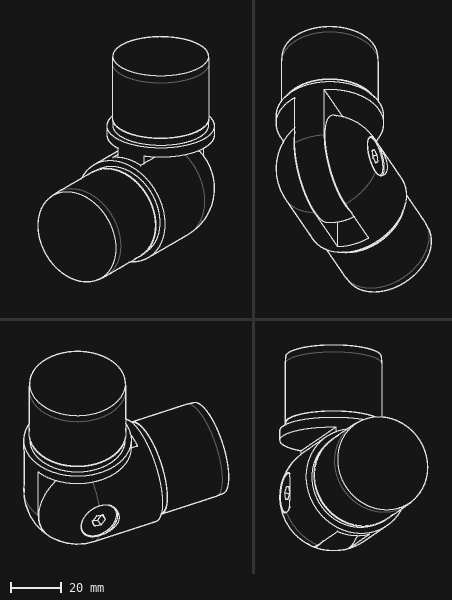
import cadquery as cq
import math


ball_radius = 21.2
total_length = 78.2
tip_position = total_length - ball_radius
collar_end = 27.0
collar_thickness = 4.0
collar_start = collar_end - collar_thickness
groove_length = 3.1
groove_radius = 18.8
plug_radius = 19.1
tip_taper_length = 3.0
tip_radius = 18.85

slot_width = 13.3
tongue_thickness = 12.7

head_radius = 7.7
recess_radius = 8.05
recess_step = recess_radius - head_radius
head_face_depth = 1.8
head_face_x = -(ball_radius - head_face_depth)
shank_radius = 4.0
screw_end_x = 14.1
socket_width = 5.0
socket_depth = 3.0
socket_tip_depth = 1.4
socket_angle = 12.0


def connector_blank():
    """Solid connector half on +Z: half ball, straight barrel, groove and tapered plug."""
    return (
        cq.Workplane("XZ")
        .moveTo(0, -ball_radius)
        .threePointArc(
            (ball_radius * math.sqrt(0.5), -ball_radius * math.sqrt(0.5)),
            (ball_radius, 0),
        )
        .lineTo(ball_radius, collar_end)
        .lineTo(groove_radius, collar_end)
        .lineTo(groove_radius, collar_end + groove_length)
        .lineTo(plug_radius, collar_end + groove_length)
        .lineTo(plug_radius, tip_position - tip_taper_length)
        .lineTo(tip_radius, tip_position)
        .lineTo(0, tip_position)
        .close()
        .revolve(360, (0, 0), (0, 1))
    )


def joint_block(width):
    """Block of the given X width that spans the ball and barrel up to the collar."""
    span = 2 * ball_radius
    return cq.Workplane("XY").box(width, span, ball_radius + collar_start).translate(
        (0, 0, (collar_start - ball_radius) / 2)
    )


def turned_about_x(outline):
    """Solid of revolution about the X axis from (x, radius) points."""
    return cq.Workplane("XY").polyline(outline).close().revolve(360, (0, 0), (1, 0))


def screw_envelope():
    """Head cone and shank of the screw, without its socket."""
    cone_end_x = head_face_x + head_radius - shank_radius
    return turned_about_x(
        [
            (head_face_x, 0),
            (head_face_x, head_radius),
            (cone_end_x, shank_radius),
            (screw_end_x, shank_radius),
            (screw_end_x, 0),
        ]
    )


def head_recess():
    """Opening outside the screw head: the rest of the 90 degree cone, then a straight bore."""
    return turned_about_x(
        [
            (head_face_x, 0),
            (head_face_x, head_radius),
            (head_face_x - recess_step, recess_radius),
            (-ball_radius, recess_radius),
            (-ball_radius, 0),
        ]
    )


def hex_socket():
    """Hexagonal key socket in the screw head, ending in a shallow cone."""
    corner_diameter = socket_width / math.cos(math.pi / 6)
    floor_depth = socket_depth + socket_tip_depth
    hexagon = (
        cq.Workplane("YZ")
        .polygon(6, corner_diameter)
        .extrude(floor_depth)
        .rotate((0, 0, 0), (1, 0, 0), socket_angle)
    )
    drill = turned_about_x(
        [
            (0, 0),
            (0, corner_diameter / 2),
            (socket_depth, corner_diameter / 2),
            (floor_depth, 0),
        ]
    )
    return hexagon.intersect(drill).translate((head_face_x, 0, 0))


def make_fork():
    slotted = connector_blank().cut(joint_block(slot_width))
    along_minus_y = slotted.rotate((0, 0, 0), (1, 0, 0), 90)
    return along_minus_y.cut(screw_envelope()).cut(head_recess()).solids()


def make_tongue():
    cheeks = joint_block(2 * ball_radius).cut(joint_block(tongue_thickness))
    return connector_blank().cut(cheeks).cut(screw_envelope()).solids()


def make_screw():
    return screw_envelope().cut(hex_socket()).solids()


fork = make_fork()
tongue = make_tongue()
screw = make_screw()

result = cq.Compound.makeCompound([fork.val(), tongue.val(), screw.val()])